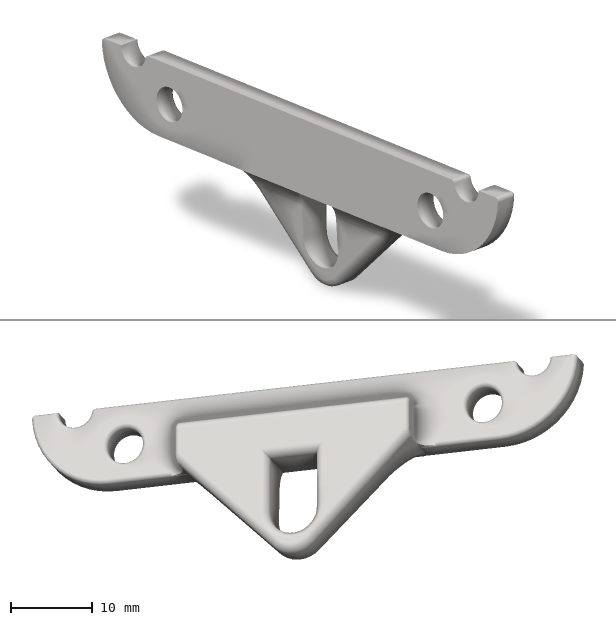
import cadquery as cq
import math

BoxSelector = cq.selectors.BoxSelector

length = 69.95
plate_height = 10.0
plate_thickness = 3.0
end_radius = 10.0
plate_edge_radius = 0.455

hole_x = 23.0
hole_z = -5.25
hole_diameter = 4.55
hole_edge_radius = 0.5
notch_x = 29.4
notch_radius = 2.2
top_corner_radius = 0.5

tab_back = 8.0
tab_top = -4.9
tab_half_width = 15.0
tab_tip_radius = 3.5
tab_tip_thickness = 4.05
tab_edge_radius = 1.0
tab_side_radius = 0.5
root_radius = 1.95
gusset_radius = 3.1

slot_width = 6.0
slot_top = -10.85
slot_bottom = -20.9
slot_edge_radius = 1.0

pick_margin = 0.1

plate_bottom = -plate_height
apex_z = plate_bottom - tab_half_width
tip_z = apex_z + tab_tip_radius * (math.sqrt(2) - 1)


def extrude_along_y(sketch, y_start, y_end):
    """Extrude an XZ sketch, drawn on the y = 0 plane, between two y levels."""
    return sketch.extrude(-(y_end - y_start)).translate((0, y_start, 0))


def make_plate():
    half = length / 2
    flat_half = half - end_radius
    diagonal = end_radius * math.sqrt(0.5)
    outline = (
        cq.Workplane("XZ")
        .moveTo(-half, 0)
        .lineTo(half, 0)
        .threePointArc((flat_half + diagonal, -diagonal), (flat_half, plate_bottom))
        .lineTo(-flat_half, plate_bottom)
        .threePointArc((-flat_half - diagonal, -diagonal), (-half, 0))
        .close()
    )
    plate = extrude_along_y(outline, 0, plate_thickness)
    notches = cq.Workplane("XZ").pushPoints([(-notch_x, 0), (notch_x, 0)]).circle(notch_radius)
    plate = plate.cut(extrude_along_y(notches, 0, plate_thickness))
    inner_corners = BoxSelector((-notch_x, 0, -pick_margin), (notch_x, plate_thickness, pick_margin))
    plate = plate.edges("|Y").edges(inner_corners).fillet(top_corner_radius)
    plate = plate.edges("|Y and >Z").edges("<X or >X").fillet(top_corner_radius)
    plate = plate.faces(">Y").edges().fillet(plate_edge_radius)
    rim_reach = hole_x + hole_diameter
    rim_zone = BoxSelector(
        (-rim_reach, 0, hole_z - pick_margin),
        (rim_reach, 2 * plate_thickness, hole_z + pick_margin),
    )
    holes = cq.Workplane("XZ").pushPoints([(-hole_x, hole_z), (hole_x, hole_z)]).circle(hole_diameter / 2)
    plate = plate.cut(extrude_along_y(holes, 0, plate_thickness))
    return plate.faces(">Y").edges("%CIRCLE").edges(rim_zone).fillet(hole_edge_radius)


def tab_outline():
    """Prism of the tab outline through the full depth, with a rounded tip."""
    outline = (
        cq.Workplane("XZ")
        .moveTo(-tab_half_width, tab_top)
        .lineTo(tab_half_width, tab_top)
        .lineTo(tab_half_width, plate_bottom)
        .lineTo(0, apex_z)
        .lineTo(-tab_half_width, plate_bottom)
        .close()
    )
    return extrude_along_y(outline, 0, tab_back).edges("<Z").fillet(tab_tip_radius)


def make_tab():
    """Tab with a leaning front face and a concave gusset under the plate."""
    lean = math.atan2(tab_back - tab_tip_thickness - plate_thickness, plate_bottom - tip_z)
    reach = gusset_radius * math.tan(math.pi / 4 + lean / 2)
    arc_y = plate_thickness - reach
    arc_z = plate_bottom - gusset_radius
    middle = (math.pi / 2 - lean) / 2
    side_profile = (
        cq.Workplane("YZ")
        .moveTo(arc_y, tab_top)
        .lineTo(tab_back, tab_top)
        .lineTo(tab_back, tip_z)
        .lineTo(tab_back - tab_tip_thickness, tip_z)
        .lineTo(plate_thickness + reach * math.sin(lean), plate_bottom - reach * math.cos(lean))
        .threePointArc(
            (arc_y + gusset_radius * math.sin(middle), arc_z + gusset_radius * math.cos(middle)),
            (arc_y, plate_bottom),
        )
        .close()
        .extrude(tab_half_width, both=True)
    )
    tab = tab_outline().intersect(side_profile)
    tab = tab.faces(">Y").edges("not |Z").fillet(tab_edge_radius)
    tab = tab.faces("<Z").edges("<Y").fillet(tab_edge_radius)
    return tab.faces("<X or >X").edges("not <Y").fillet(tab_side_radius)


def make_root_flare():
    """Concave flare around the top and sides of the tab where it meets the plate."""
    flare_half_width = tab_half_width + root_radius
    flare_height = tab_top + root_radius - plate_bottom
    run_on = 2 * flare_height
    block_height = tab_top - plate_bottom + run_on
    block_depth = tab_back - tab_edge_radius
    wall = (
        cq.Workplane("XY")
        .box(4 * flare_half_width, plate_thickness, 4 * run_on)
        .translate((0, plate_thickness / 2, plate_bottom))
    )
    block = (
        cq.Workplane("XY")
        .box(2 * tab_half_width, block_depth, block_height)
        .translate((0, block_depth / 2, tab_top - block_height / 2))
        .edges("|Y")
        .fillet(tab_side_radius)
    )
    junction = BoxSelector(
        (-flare_half_width, plate_thickness - pick_margin, plate_bottom - 2 * run_on),
        (flare_half_width, plate_thickness + pick_margin, tab_top + root_radius),
    )
    flare = wall.union(block).edges(junction).fillet(root_radius)
    trim_depth = block_depth - plate_thickness
    trim = (
        cq.Workplane("XY")
        .box(2 * flare_half_width, trim_depth, flare_height)
        .translate((0, plate_thickness + trim_depth / 2, plate_bottom + flare_height / 2))
    )
    return flare.intersect(trim)


def make_slot():
    radius = slot_width / 2
    arc_z = slot_bottom + radius
    outline = (
        cq.Workplane("XZ")
        .moveTo(-radius, slot_top)
        .lineTo(radius, slot_top)
        .lineTo(radius, arc_z)
        .threePointArc((0, slot_bottom), (-radius, arc_z))
        .close()
    )
    return extrude_along_y(outline, 0, tab_back)


def cut_slot(body):
    """Cut the slot and round its rear rim."""
    body = body.cut(make_slot())
    radius = slot_width / 2
    rim_zone = BoxSelector(
        (-radius - pick_margin, tab_back - pick_margin, slot_bottom - pick_margin),
        (radius + pick_margin, tab_back + pick_margin, slot_top + pick_margin),
    )
    return body.edges(rim_zone).fillet(slot_edge_radius)


result = cut_slot(make_plate().union(make_tab()).union(make_root_flare()))